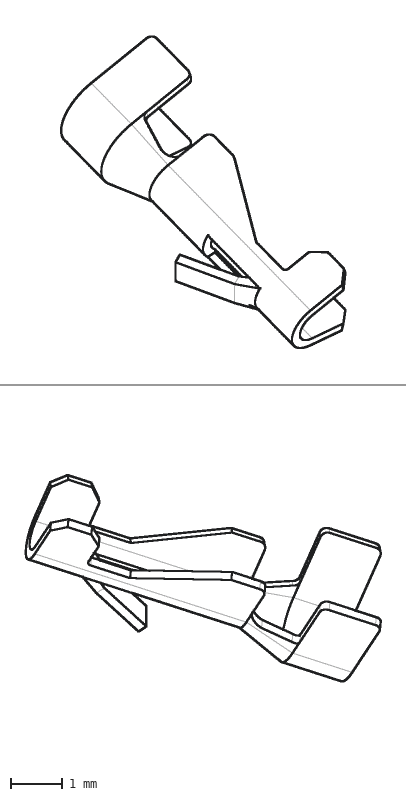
import cadquery as cq
import math

sheet = 0.2
wing_angle = math.radians(12.5)

length = 6.73
grip_end = 1.26
barrel_start = 2.275
grip_radius = 0.955
barrel_radius = 0.59
grip_bottom = -0.39
barrel_bottom = 0.0

edge_drop = sheet * math.sin(wing_angle)
grip_top = 1.92 - edge_drop
barrel_top = 1.54 - edge_drop
neck_top = 0.685 - edge_drop
grip_corner = 0.14
wire_corner = 0.15
notch_corner = 0.08
wire_top_end = 3.02
slope_end = 4.8
tip_start = 5.71
tip_chamfer = 0.26

taper_edge_start = 0.69
taper_edge_end = 0.56
taper_arc_start = 1.985
taper_arc_rise = 0.18
taper_corner = 0.12
taper_blank_top = 0.875

window_start = 3.95
window_end = 5.58
window_half = 0.36
lance_half = 0.315
lance_angle = math.radians(27)
lance_length = 1.265
bend_x = 5.075
bend_y = 0.0


def tangent_point(radius, bottom):
    """(Y, Z) where the round bottom meets the straight wing."""
    return (bottom + radius * (1 - math.sin(wing_angle)), radius * math.cos(wing_angle))


def round_bottom(x_start, x_end, radius, bottom):
    """Curved sheet between the two wings."""
    y_out, z_out = tangent_point(radius, bottom)
    y_in, z_in = tangent_point(radius - sheet, bottom + sheet)
    return (
        cq.Workplane("YZ", origin=(x_start, 0, 0))
        .moveTo(y_out, z_out)
        .threePointArc((bottom, 0), (y_out, -z_out))
        .lineTo(y_in, -z_in)
        .threePointArc((bottom + sheet, 0), (y_in, z_in))
        .close()
        .extrude(x_end - x_start)
    )


def wing_plane(radius, bottom):
    """Plane on the outer face of the +Z wing: local x along X, local y up the wing."""
    y, z = tangent_point(radius, bottom)
    normal = (0, -math.sin(wing_angle), math.cos(wing_angle))
    return cq.Plane(origin=(0, y, z), xDir=(1, 0, 0), normal=normal)


def up_wing(y, radius, bottom):
    """Distance along the wing from the tangent line to height y."""
    return (y - tangent_point(radius, bottom)[0]) / math.cos(wing_angle)


def both_sides(solid):
    return solid.union(solid.mirror("XY"))


def grip():
    top = up_wing(grip_top, grip_radius, grip_bottom)
    plate = (
        cq.Workplane(wing_plane(grip_radius, grip_bottom))
        .lineTo(grip_end, 0)
        .lineTo(grip_end, top - grip_corner)
        .radiusArc((grip_end - grip_corner, top), -grip_corner)
        .lineTo(grip_corner, top)
        .radiusArc((0, top - grip_corner), -grip_corner)
        .close()
        .extrude(-sheet)
    )
    return round_bottom(0, grip_end, grip_radius, grip_bottom).union(both_sides(plate))


def barrel():
    top = up_wing(barrel_top, barrel_radius, barrel_bottom)
    neck = up_wing(neck_top, barrel_radius, barrel_bottom)
    plate = (
        cq.Workplane(wing_plane(barrel_radius, barrel_bottom))
        .moveTo(barrel_start, 0)
        .lineTo(length, 0)
        .lineTo(length, top - tip_chamfer)
        .lineTo(length - tip_chamfer, top)
        .lineTo(tip_start + tip_chamfer, top)
        .lineTo(tip_start, top - tip_chamfer)
        .lineTo(tip_start, neck + notch_corner)
        .radiusArc((tip_start - notch_corner, neck), notch_corner)
        .lineTo(slope_end, neck)
        .lineTo(wire_top_end, top)
        .lineTo(barrel_start + wire_corner, top)
        .radiusArc((barrel_start, top - wire_corner), -wire_corner)
        .close()
        .extrude(-sheet)
    )
    bottom = round_bottom(barrel_start, length, barrel_radius, barrel_bottom)
    return bottom.union(both_sides(plate))


def u_section(x, radius, bottom):
    """Closed U outline, flat across its top."""
    y, z = tangent_point(radius, bottom)
    z_top = z + (taper_blank_top - y) * math.tan(wing_angle)
    outline = (
        cq.Workplane("YZ", origin=(x, 0, 0))
        .moveTo(taper_blank_top, z_top)
        .lineTo(y, z)
        .threePointArc((bottom, 0), (y, -z))
        .lineTo(taper_blank_top, -z_top)
        .close()
    )
    return outline.val()


def taper_body(inset):
    wires = [
        u_section(grip_end, grip_radius - inset, grip_bottom + inset),
        u_section(barrel_start, barrel_radius - inset, barrel_bottom + inset),
    ]
    return cq.Workplane(obj=cq.Solid.makeLoft(wires, True))


def taper():
    """Transition from grip to barrel, trimmed square to the wings."""
    low_start = up_wing(taper_edge_start, barrel_radius, barrel_bottom)
    low_end = up_wing(taper_edge_end, barrel_radius, barrel_bottom)
    above = up_wing(2 * taper_blank_top, barrel_radius, barrel_bottom)
    trim = (
        cq.Workplane(wing_plane(barrel_radius, barrel_bottom))
        .moveTo(grip_end, above)
        .lineTo(grip_end, low_start + taper_corner)
        .radiusArc((grip_end + taper_corner, low_start), -taper_corner)
        .lineTo(taper_arc_start, low_end)
        .radiusArc((barrel_start, low_end + taper_arc_rise), -(barrel_start - taper_arc_start))
        .lineTo(barrel_start, above)
        .close()
        .extrude(barrel_radius, both=True)
    )
    return taper_body(0).cut(taper_body(sheet)).cut(both_sides(trim))


def window():
    """Block that opens the bottom of the barrel around the lance."""
    return cq.Workplane("XY", origin=(window_start, 0, 0)).box(
        window_end - window_start, barrel_radius, 2 * window_half, centered=(False, True, True)
    )


def lance():
    """Flat spring tongue bent outwards, blended into the round bottom at the window end."""
    along = cq.Vector(-math.cos(lance_angle), -math.sin(lance_angle), 0)
    bend_plane = cq.Plane(origin=(bend_x, bend_y, 0), xDir=(-along.y, along.x, 0), normal=along)
    bend = (
        cq.Workplane(bend_plane)
        .moveTo(0, -lance_half)
        .lineTo(sheet, -lance_half)
        .lineTo(sheet, lance_half)
        .lineTo(0, lance_half)
        .close()
    )
    tongue = bend.extrude(lance_length)

    y_out = barrel_radius - math.sqrt(barrel_radius**2 - window_half**2)
    y_in = barrel_radius - math.sqrt((barrel_radius - sheet)**2 - window_half**2)
    root = (
        cq.Workplane("YZ", origin=(window_end, 0, 0))
        .moveTo(y_in, -window_half)
        .lineTo(y_out, -window_half)
        .threePointArc((barrel_bottom, 0), (y_out, window_half))
        .lineTo(y_in, window_half)
        .threePointArc((barrel_bottom + sheet, 0), (y_in, -window_half))
        .close()
    )
    blend = cq.Solid.makeLoft([bend.val(), root.val()], True)
    return tongue.union(cq.Workplane(obj=blend))


result = grip().union(taper()).union(barrel()).cut(window()).union(lance())